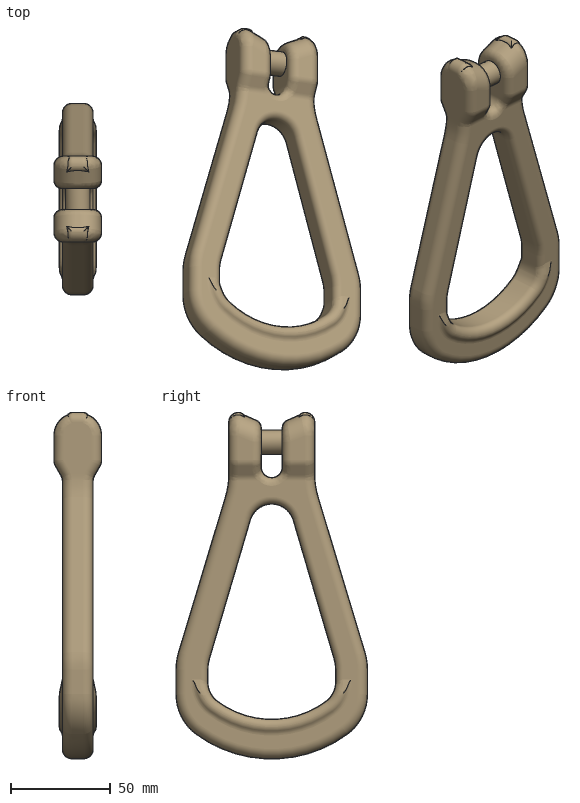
import cadquery as cq
import math


head_half_width = 21.6
head_half_depth = 12.0
crown_tilt = 23.6
crown_axis_at_center = -4.0
crown_flat_half_width = 1.3
flare_top = -10.5
flare_bottom = -17.9
flare_round = 5.5

tip_top = 15.02
tip_half_width = 5.6
tip_inner_end = 13.6
tip_side_fillet = 3.0

slot_half_width = 5.25
slot_arc_center = -12.4
pin_radius = 6.2

bar_half_depth = 7.75
loop_half_width = 48.055
loop_bottom = -158.85
shoulder = -21.9
outer_hip = -109.6
shoulder_radius = 40.0
outer_hip_radius = 30.0
outer_side_end = -126.3
outer_corner_radius = 25.0

window_half_width = 32.0
window_top = -31.0
window_top_radius = 11.2
window_hip = -111.2
window_hip_radius = 20.0
window_side_end = -120.3
window_corner_radius = 12.0
window_bottom = -138.9

bead_half_depth = 9.28
bead_start = -119.0
bead_ramp_end = -126.0
bead_ramp_bend = 12.0
bead_width = 8.3
bead_inner_radius = 4.0

outer_fillet = 4.9
slot_fillet = 4.3
window_fillet = 3.6

margin = 0.01
beyond = 60.0


def unit(angle):
    """Unit vector (y, z) at an angle measured from -Z toward +Y."""
    return math.sin(angle), -math.cos(angle)


def bottom_curve(half_width, side_end, corner_radius, bottom):
    """Middle and end of the +Y corner arc, which is tangent to the side and to the bottom bow."""
    offset = half_width - corner_radius
    drop = side_end - bottom
    bow_radius = (offset**2 + drop**2 - corner_radius**2) / (2 * (drop - corner_radius))
    end_angle = math.asin(offset / (bow_radius - corner_radius))

    def on_corner(angle):
        y, z = unit(angle)
        return offset + corner_radius * y, side_end + corner_radius * z

    side_angle = math.pi / 2
    return on_corner((end_angle + side_angle) / 2), on_corner(end_angle)


def mirrored(point):
    return -point[0], point[1]


def add_bow(path, half_width, side_end, corner_radius, bottom):
    """Continue a path from the +Y side, around the bottom, to the -Y side."""
    middle, end = bottom_curve(half_width, side_end, corner_radius, bottom)
    return (
        path.lineTo(half_width, side_end)
        .threePointArc(middle, end)
        .threePointArc((0, bottom), mirrored(end))
        .threePointArc(mirrored(middle), (-half_width, side_end))
    )


def bend_corners(plate, y, z, radius):
    """Round the two X-parallel edges of a plate at (y, z) and (-y, z)."""
    for side in (1, -1):
        plate = plate.edges(cq.selectors.NearestToPointSelector((0, side * y, z))).fillet(radius)
    return plate


def make_outline():
    path = (
        cq.Workplane("YZ")
        .moveTo(-head_half_width, beyond)
        .lineTo(head_half_width, beyond)
        .lineTo(head_half_width, shoulder)
        .lineTo(loop_half_width, outer_hip)
    )
    path = add_bow(path, loop_half_width, outer_side_end, outer_corner_radius, loop_bottom)
    plate = (
        path.lineTo(-loop_half_width, outer_hip)
        .lineTo(-head_half_width, shoulder)
        .close()
        .extrude(head_half_depth, both=True)
    )
    plate = bend_corners(plate, head_half_width, shoulder, shoulder_radius)
    return bend_corners(plate, loop_half_width, outer_hip, outer_hip_radius)


def make_slot():
    return (
        cq.Workplane("YZ")
        .moveTo(-slot_half_width, beyond)
        .lineTo(-slot_half_width, slot_arc_center)
        .threePointArc((0, slot_arc_center - slot_half_width), (slot_half_width, slot_arc_center))
        .lineTo(slot_half_width, beyond)
        .close()
        .extrude(head_half_depth, both=True)
    )


def make_flare():
    """Body of the XZ profile: loop thickness below, head depth above."""
    flare_corners = [(bar_half_depth, flare_bottom), (head_half_depth, flare_top)]
    right = [(bar_half_depth, loop_bottom - beyond), *flare_corners, (head_half_depth, beyond)]
    left = [mirrored(point) for point in reversed(right)]
    profile = cq.Workplane("XZ").polyline(right + left).close().extrude(beyond, both=True)
    for x, z in flare_corners:
        for side in (1, -1):
            selector = cq.selectors.NearestToPointSelector((side * x, 0, z))
            profile = profile.edges(selector).fillet(flare_round)
    return profile


def make_crown():
    """Columns with rounded tops that rise outward on each side."""
    tilt = math.radians(crown_tilt)
    plane = cq.Plane(
        origin=(0, 0, crown_axis_at_center),
        xDir=(1, 0, 0),
        normal=(0, -math.cos(tilt), -math.sin(tilt)),
    )
    radius = head_half_depth - crown_flat_half_width
    depth = 4 * beyond
    half = (
        cq.Workplane(plane)
        .moveTo(head_half_depth, -depth)
        .lineTo(head_half_depth, 0)
        .tangentArcPoint((crown_flat_half_width, radius), relative=False)
        .lineTo(-crown_flat_half_width, radius)
        .tangentArcPoint((-head_half_depth, 0), relative=False)
        .lineTo(-head_half_depth, -depth)
        .close()
        .extrude(depth, both=True)
    )
    return half.union(half.mirror("XZ"))


def make_window():
    arc_center = window_top - window_top_radius
    depth = arc_center - window_hip
    reach = math.hypot(window_half_width, depth)
    leg_angle = math.atan2(window_half_width, depth) - math.asin(window_top_radius / reach)
    arc_end = (
        window_top_radius * math.cos(leg_angle),
        arc_center + window_top_radius * math.sin(leg_angle),
    )
    path = (
        cq.Workplane("YZ")
        .moveTo(*mirrored(arc_end))
        .threePointArc((0, window_top), arc_end)
        .lineTo(window_half_width, window_hip)
    )
    path = add_bow(path, window_half_width, window_side_end, window_corner_radius, window_bottom)
    window = path.lineTo(-window_half_width, window_hip).close().extrude(head_half_depth, both=True)
    return bend_corners(window, window_half_width, window_hip, window_hip_radius)


def edges_within(body, low, high):
    """Edges of a body, apart from those parallel to X, lying wholly inside a box."""
    box = cq.selectors.BoxSelector(low, high, boundingbox=True)
    return body.edges(box).edges("not |X")


def sweep_under_window(section):
    """Sweep a section, drawn at the start of the bead, around the bottom of the window."""
    path = cq.Workplane("YZ").moveTo(window_half_width, bead_start)
    path = add_bow(path, window_half_width, window_side_end, window_corner_radius, window_bottom)
    return section.sweep(path.lineTo(-window_half_width, bead_start))


def make_bead():
    """Rounded bead along the bottom of the window, raised on both faces, with ramped ends."""
    crest_y = window_half_width + bead_inner_radius
    foot_y = window_half_width + bead_width
    start = cq.Workplane("XY", origin=(0, 0, bead_start)).moveTo(0, window_half_width)

    block = sweep_under_window(
        start.lineTo(bead_half_depth, window_half_width)
        .lineTo(bead_half_depth, foot_y)
        .lineTo(0, foot_y)
        .close()
    )
    ramp = (
        cq.Workplane("XZ")
        .moveTo(0, bead_start)
        .lineTo(bar_half_depth, bead_start)
        .lineTo(bead_half_depth, bead_ramp_end)
        .lineTo(bead_half_depth, loop_bottom)
        .lineTo(0, loop_bottom)
        .close()
        .extrude(beyond, both=True)
    )
    bend = cq.selectors.NearestToPointSelector((bead_half_depth, 0, bead_ramp_end))
    ramp = ramp.edges(bend).fillet(bead_ramp_bend)
    half = block.intersect(ramp)
    low = (bar_half_depth - margin, -window_half_width - margin, window_bottom - margin)
    high = (beyond, window_half_width + margin, beyond)
    half = edges_within(half, low, high).fillet(bead_inner_radius)

    inflection = ((bead_half_depth + bar_half_depth) / 2, (crest_y + foot_y) / 2)
    fall = sweep_under_window(
        start.lineTo(bead_half_depth, window_half_width)
        .lineTo(bead_half_depth, crest_y)
        .tangentArcPoint(inflection, relative=False)
        .tangentArcPoint((bar_half_depth, foot_y), relative=False)
        .lineTo(0, foot_y)
        .close()
    )
    half = half.intersect(fall)
    return half.union(half.mirror("YZ"))


def make_tips():
    """Rounded pads on the crowns, flush with the ends of the head."""
    length = head_half_width - tip_inner_end
    pad = cq.Workplane("XY").box(2 * tip_half_width, length, tip_top, centered=(True, False, False))
    pad = pad.translate((0, tip_inner_end, 0))
    pad = pad.edges("|X").edges(">Z").edges(">Y").fillet(outer_fillet)
    pad = pad.faces(">Z").edges(">X or <X or <Y").fillet(tip_side_fillet)
    return pad.union(pad.mirror("XZ"))


def round_slot(body):
    width = slot_half_width + margin
    low = (-beyond, -width, slot_arc_center - slot_half_width - margin)
    return edges_within(body, low, (beyond, width, beyond)).fillet(slot_fillet)


def round_outside(body):
    """Round the outer silhouette: head ends, legs and bottom bow."""
    edges = []
    for side in (1, -1):
        y = side * head_half_width
        low = (-beyond, y - margin, shoulder - shoulder_radius)
        edges += edges_within(body, low, (beyond, y + margin, beyond)).vals()
        x = side * bar_half_depth
        low = (x - margin, -beyond, loop_bottom - margin)
        edges += edges_within(body, low, (x + margin, beyond, beyond)).edges("not |Y").vals()
    return body.newObject(edges).fillet(outer_fillet)


def round_window(body):
    low = (-beyond, -window_half_width - margin, window_bottom - margin)
    high = (beyond, window_half_width + margin, window_top + margin)
    return edges_within(body, low, high).fillet(window_fillet)


def make_pin():
    length = head_half_width + slot_half_width
    pin = cq.Workplane("XZ").circle(pin_radius)
    return pin.extrude(length / 2, both=True)


def make_link():
    body = make_outline().intersect(make_flare()).intersect(make_crown())
    body = body.cut(make_slot())
    body = round_outside(body)
    body = round_slot(body)
    body = round_window(body.cut(make_window()))
    return body.union(make_tips()).union(make_bead()).union(make_pin())


result = make_link()